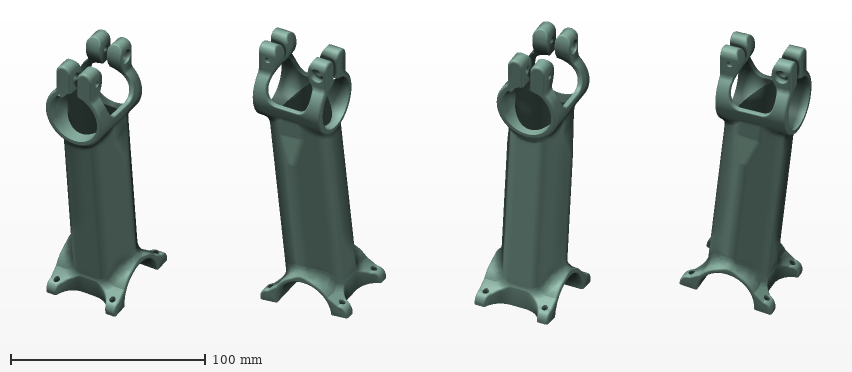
import cadquery as cq
import math


OVERALL_HEIGHT = 152.2
LEAN_ANGLE = 6.0
STEM_LENGTH = 120.5

STEERER_RADIUS = 14.3
CLAMP_RADIUS = 17.4
CLAMP_LENGTH = 40.0
CLAMP_EDGE_ROUND = 1.4
EAR_GAP = 3.8
EAR_WIDTH = 9.0
EAR_ROOT_ROUND = 3.8

WINDOW_RADIUS = 12.6
WINDOW_CENTRE_HEIGHT = 9.0
WINDOW_FLOOR = -0.5
WINDOW_CORNER_ROUND = 6.1
WINDOW_EDGE_ROUND = 0.8
EAR_INNER_EDGE = 9.0

PINCH_OFFSET = 14.5
PINCH_THREAD_RADIUS = 1.7
PINCH_CLEARANCE_RADIUS = 2.3
PINCH_HEAD_RADIUS = 4.0
PINCH_HEAD_DEPTH = 3.8

HEX_ACROSS_FLATS = 33.0
HEX_CORNER_ROUND = 6.1
BODY_BORE_RADIUS = 14.2
BODY_TOP = -6.1
WAIST_HALF_WIDTH = 15.4
WAIST_END = 18.3
WAIST_RUNOUT = 38.8
COLLAR_ROUND = 4.5

BAR_DIAMETER = 31.8
BAR_EDGE_ROUND = 0.9
CRADLE_RADIUS = 18.5
CRADLE_WIDTH = 42.0
CRADLE_BODY_ROUND = 6.1
CRADLE_EDGE_ROUND = 1.0
ARM_REACH = 25.9
ARM_HEIGHT = 6.5
ARM_TIP_ROUND = 5.0
SHOULDER_HEIGHT = 10.4
RELIEF_FACE = 16.9
RELIEF_FLAT_HALF_WIDTH = 4.0
RELIEF_RADIUS = 11.1
BAR_BOLT_X = 16.9
BAR_BOLT_Y = 21.2
BAR_BOLT_RADIUS = 1.7

LEAN = math.radians(LEAN_ANGLE)
EAR_TOP = OVERALL_HEIGHT - STEM_LENGTH * math.cos(LEAN) - ARM_REACH * math.sin(LEAN)
EAR_OUTER = EAR_GAP / 2 + EAR_WIDTH
EAR_CROWN_RADIUS = EAR_WIDTH / 2
EAR_ARC_CENTRE_Y = EAR_INNER_EDGE + WINDOW_RADIUS
PINCH_HEIGHT = WINDOW_CENTRE_HEIGHT + math.sqrt((2 * WINDOW_RADIUS) ** 2 - EAR_ARC_CENTRE_Y**2)
HEX_ACROSS_CORNERS = HEX_ACROSS_FLATS / math.cos(math.radians(30))
BAR_RADIUS = BAR_DIAMETER / 2
BAR_AXIS_Z = -STEM_LENGTH
DIAGONAL = math.sqrt(0.5)

OVERSIZE = 91.3
TOLERANCE = 0.02
MARGIN = 0.8
NEARLY_UPRIGHT = 0.95


def cylinder_x(radius, length):
    return cq.Workplane("YZ").circle(radius).extrude(length / 2, both=True)


def cylinder_y(radius, length):
    return cq.Workplane("XZ").circle(radius).extrude(length / 2, both=True)


def inside(x_half, y_half, z_low, z_high):
    """Selector for edges lying wholly inside a box centred on the Z axis."""
    return cq.selectors.BoxSelector((-x_half, -y_half, z_low), (x_half, y_half, z_high), boundingbox=True)


def at_height(z):
    return inside(OVERSIZE, OVERSIZE, z - TOLERANCE, z + TOLERANCE)


def lean(shape):
    return shape.rotate((0, 0, 0), (1, 0, 0), LEAN_ANGLE)




def clamp_blank():
    """Solid ring with a slotted pair of round-topped ears along its whole length."""
    crown_height = EAR_TOP - EAR_CROWN_RADIUS
    root_height = math.sqrt(CLAMP_RADIUS**2 - EAR_OUTER**2)
    ear_block = cq.Workplane("XY").rect(2 * EAR_OUTER, CLAMP_LENGTH).extrude(crown_height)
    blank = cylinder_y(CLAMP_RADIUS, CLAMP_LENGTH).union(ear_block)
    blank = blank.edges("|Y").edges(at_height(root_height)).fillet(EAR_ROOT_ROUND)
    for side in (-1, 1):
        ear_x = side * (EAR_GAP + EAR_WIDTH) / 2
        crown = cylinder_y(EAR_CROWN_RADIUS, CLAMP_LENGTH)
        blank = blank.union(crown.translate((ear_x, 0, crown_height)))
    gap = cq.Workplane("XY").rect(EAR_GAP, OVERSIZE).extrude(OVERSIZE)
    return blank.cut(gap)


def window_cutter():
    """Round window with a flat floor; its sides sweep smoothly into the rounded ear edges."""
    floor_half = math.sqrt(WINDOW_RADIUS**2 - (WINDOW_FLOOR - WINDOW_CENTRE_HEIGHT) ** 2)
    neck_y = EAR_ARC_CENTRE_Y / 2
    neck_z = (WINDOW_CENTRE_HEIGHT + PINCH_HEIGHT) / 2
    top_z = EAR_TOP + MARGIN
    top_y = EAR_ARC_CENTRE_Y - math.sqrt(WINDOW_RADIUS**2 - (top_z - PINCH_HEIGHT) ** 2)
    cutter = (
        cq.Workplane("YZ")
        .moveTo(-floor_half, WINDOW_FLOOR)
        .lineTo(floor_half, WINDOW_FLOOR)
        .threePointArc((WINDOW_RADIUS, WINDOW_CENTRE_HEIGHT), (neck_y, neck_z))
        .threePointArc((EAR_INNER_EDGE, PINCH_HEIGHT), (top_y, top_z))
        .lineTo(-top_y, top_z)
        .threePointArc((-EAR_INNER_EDGE, PINCH_HEIGHT), (-neck_y, neck_z))
        .threePointArc((-WINDOW_RADIUS, WINDOW_CENTRE_HEIGHT), (-floor_half, WINDOW_FLOOR))
        .close()
        .extrude(OVERSIZE / 2, both=True)
    )
    return cutter.edges("|X").edges(at_height(WINDOW_FLOOR)).fillet(WINDOW_CORNER_ROUND)


def pinch_bolt_cutter():
    """Bolt entering from -X: head pocket and clearance in the first ear, thread in the second."""
    across = cq.Workplane("YZ").center(-PINCH_OFFSET, PINCH_HEIGHT)
    thread = across.circle(PINCH_THREAD_RADIUS).extrude(OVERSIZE)
    clearance = across.circle(PINCH_CLEARANCE_RADIUS).extrude(-OVERSIZE)
    head = across.workplane(offset=PINCH_HEAD_DEPTH - EAR_OUTER).circle(PINCH_HEAD_RADIUS).extrude(-OVERSIZE)
    return thread.union(clearance).union(head)


def steerer_clamp():
    clamp = clamp_blank().faces("<Y or >Y").edges().fillet(CLAMP_EDGE_ROUND)
    clamp = clamp.cut(cylinder_y(STEERER_RADIUS, OVERSIZE))
    clamp = clamp.cut(window_cutter())
    window_rim = inside(OVERSIZE, WINDOW_RADIUS + MARGIN, WINDOW_FLOOR - MARGIN, OVERSIZE)
    clamp = clamp.edges(window_rim).fillet(WINDOW_EDGE_ROUND)
    bolt = pinch_bolt_cutter()
    return clamp.cut(bolt).cut(bolt.rotate((0, 0, 0), (0, 0, 1), 180))




def is_between_ends(edge):
    """Every edge of the body except the outlines of its two end faces."""
    return BAR_AXIS_Z < edge.Center().z - TOLERANCE and edge.Center().z < -TOLERANCE


def hex_body():
    """Hexagonal bar whose side ridges are planed down to a narrow waist under the clamp."""
    body = cq.Workplane("XY").polygon(6, HEX_ACROSS_CORNERS).extrude(BAR_AXIS_Z)
    ridge = HEX_ACROSS_CORNERS / 2
    for side in (-1, 1):
        planing = (
            cq.Workplane("XZ")
            .moveTo(side * WAIST_HALF_WIDTH, 0)
            .lineTo(side * WAIST_HALF_WIDTH, -WAIST_END)
            .lineTo(side * ridge, -WAIST_RUNOUT)
            .lineTo(side * ridge, 0)
            .close()
            .extrude(OVERSIZE / 2, both=True)
        )
        body = body.cut(planing)
    return body.edges().filter(is_between_ends).fillet(HEX_CORNER_ROUND)


def cradle_blank():
    """Saddle over the bar with an arm on each side, longer in X than the finished cradle."""
    shoulder_y = math.sqrt(CRADLE_RADIUS**2 - SHOULDER_HEIGHT**2)
    tip_y = ARM_REACH - ARM_TIP_ROUND
    tip_z = ARM_HEIGHT - ARM_TIP_ROUND
    arc_mid_y = tip_y + ARM_TIP_ROUND * DIAGONAL
    arc_mid_z = tip_z + ARM_TIP_ROUND * DIAGONAL
    return (
        cq.Workplane("YZ")
        .moveTo(-ARM_REACH, 0)
        .lineTo(-ARM_REACH, tip_z)
        .threePointArc((-arc_mid_y, arc_mid_z), (-tip_y, ARM_HEIGHT))
        .lineTo(-shoulder_y, SHOULDER_HEIGHT)
        .threePointArc((0, CRADLE_RADIUS), (shoulder_y, SHOULDER_HEIGHT))
        .lineTo(tip_y, ARM_HEIGHT)
        .threePointArc((arc_mid_y, arc_mid_z), (ARM_REACH, tip_z))
        .lineTo(ARM_REACH, 0)
        .close()
        .extrude(OVERSIZE / 2, both=True)
        .translate((0, 0, BAR_AXIS_Z))
    )


def relief_cutter():
    """Scoop between the two arms on the +Y side."""
    end_x = RELIEF_FLAT_HALF_WIDTH + RELIEF_RADIUS
    end_y = RELIEF_FACE + RELIEF_RADIUS
    mid_x = RELIEF_FLAT_HALF_WIDTH + RELIEF_RADIUS * DIAGONAL
    mid_y = RELIEF_FACE + RELIEF_RADIUS * (1 - DIAGONAL)
    return (
        cq.Workplane("XY", origin=(0, 0, BAR_AXIS_Z))
        .moveTo(-RELIEF_FLAT_HALF_WIDTH, RELIEF_FACE)
        .lineTo(RELIEF_FLAT_HALF_WIDTH, RELIEF_FACE)
        .threePointArc((mid_x, mid_y), (end_x, end_y))
        .lineTo(-end_x, end_y)
        .threePointArc((-mid_x, mid_y), (-RELIEF_FLAT_HALF_WIDTH, RELIEF_FACE))
        .close()
        .extrude(CRADLE_RADIUS)
    )


def is_relief_wall(face):
    """Upright faces of the two scoops, which lie just outside the bar and between the arms."""
    centre = face.Center()
    upright = abs(face.normalAt().z) < TOLERANCE
    between_arms = abs(centre.x) < BAR_BOLT_X and RELIEF_FACE - TOLERANCE < abs(centre.y) < ARM_REACH - MARGIN
    return upright and between_arms and centre.z < BAR_AXIS_Z + CRADLE_RADIUS


def is_above_underside(edge):
    return edge.BoundingBox().zmax > BAR_AXIS_Z + TOLERANCE


def is_upper_rim(edge):
    """Edges that are neither on the flat underside nor upright."""
    return is_above_underside(edge) and abs(edge.tangentAt(0.5).z) < NEARLY_UPRIGHT


def is_bar_circle(edge):
    return edge.geomType() == "CIRCLE" and abs(edge.radius() - BAR_RADIUS) < TOLERANCE


def stem_body():
    body = hex_body().union(cradle_blank())
    half_flats = HEX_ACROSS_FLATS / 2 + TOLERANCE
    foot_low = BAR_AXIS_Z + ARM_HEIGHT
    foot_high = BAR_AXIS_Z + CRADLE_RADIUS + MARGIN
    body_foot = inside(CRADLE_WIDTH / 2, half_flats, foot_low, foot_high)
    body = body.edges(body_foot).fillet(CRADLE_BODY_ROUND)
    body = body.intersect(cq.Workplane("XY").box(CRADLE_WIDTH, OVERSIZE, 2 * OVERALL_HEIGHT))

    relief = relief_cutter()
    body = body.cut(relief).cut(relief.mirror("XZ"))
    body = body.faces().filter(is_relief_wall).edges().filter(is_upper_rim).fillet(CRADLE_EDGE_ROUND)
    body = body.faces("<X or >X").edges().filter(is_above_underside).fillet(CRADLE_EDGE_ROUND)

    body = body.cut(cylinder_x(BAR_RADIUS, OVERSIZE).translate((0, 0, BAR_AXIS_Z)))
    body = body.faces("<X or >X").edges().filter(is_bar_circle).fillet(BAR_EDGE_ROUND)

    bolt_holes = (
        cq.Workplane("XY", origin=(0, 0, BAR_AXIS_Z))
        .rect(2 * BAR_BOLT_X, 2 * BAR_BOLT_Y, forConstruction=True)
        .vertices()
        .circle(BAR_BOLT_RADIUS)
        .extrude(CRADLE_RADIUS)
    )
    return body.cut(bolt_holes)




def is_collar_edge(edge):
    """Edges where the body meets the outside of the steerer clamp."""
    points = edge.positions((0, 0.25, 0.5, 0.75, 1))
    on_clamp = all(abs(math.hypot(p.x, p.z) - CLAMP_RADIUS) < TOLERANCE for p in points)
    return on_clamp and max(p.z for p in points) < BODY_TOP


above_body = cq.Workplane("XY").workplane(offset=BODY_TOP).rect(OVERSIZE, OVERSIZE).extrude(OVERSIZE)
body_bore = cq.Workplane("XY").circle(BODY_BORE_RADIUS).extrude(BAR_AXIS_Z)

result = lean(stem_body()).cut(above_body).union(steerer_clamp())
collar_zone = inside(WAIST_HALF_WIDTH + MARGIN, CLAMP_LENGTH / 2, -CLAMP_RADIUS - MARGIN, BODY_TOP)
result = result.edges(collar_zone).filter(is_collar_edge).fillet(COLLAR_ROUND)
result = result.cut(cylinder_y(STEERER_RADIUS, CLAMP_LENGTH))
result = result.cut(lean(body_bore))